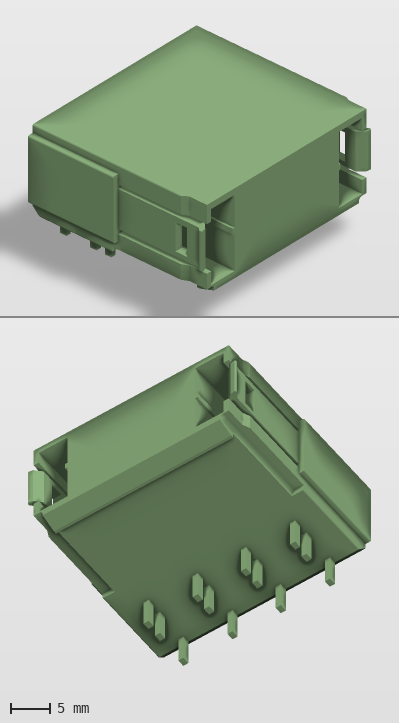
import cadquery as cq
import math

length = 29.25
full_width = 33.28
pad_rise = 0.9
body_half = full_width / 2 - pad_rise
height = 13.58
edge_radius = 0.25
end_chamfer = 1.25

pad_length = 14.58
pad_bottom = 2.13
pad_top = 12.28

wall = 1.3
cavity_floor = 1.1
cavity_roof = 12.58
core_half = 10.0
rail_bottom = 6.75
rail_top = 7.65
rail_rise = 0.33

slot_bottom = 3.2
slot_top = 10.68
arm_bottom = 4.0
arm_top = 10.02
window_start = 24.33
window_end = 26.32
window_bottom = 4.73
window_top = 9.12

bend_start = 27.9
bend_radius = 1.03
bend_angle = 45.0
inner_bend_offset = 0.25
hook_flank_end = 28.82
hook_peak_x = 28.95
hook_peak_rise = 0.53
hook_corner_rise = 0.4
hook_back_x = 29.12

taper_start = 25.25
taper_end = 26.3
taper_depth = 0.5

base_half = 13.85
step_start = 13.48
step_height = 0.83
step_radius = 0.53
wedge_start = 26.32
wedge_flat_end = 26.75
wedge_drop = 0.75

pin_size_x = 1.1
pin_size_y = 0.8
pin_length = 4.15
pin_root = 1.25
pin_columns_x = (1.75, 6.9, 9.4)
pin_rows_y = (-11.45, -3.75, 3.75, 11.45)


def block(x0, x1, y0, y1, z0, z1):
    """Box between two opposite corners."""
    return cq.Workplane("XY").box(x1 - x0, y1 - y0, z1 - z0, centered=False).translate((x0, y0, z0))


def on_both_sides(shape):
    """A shape on the +Y side together with its mirror image on the -Y side."""
    return shape.union(shape.mirror("XZ"))


def make_body():
    """Rounded case with its pads and the chamfer under the closed end."""
    case = block(0, length, -body_half, body_half, 0, height).edges("|X").fillet(edge_radius)
    pads = block(0, pad_length, -full_width / 2, full_width / 2, pad_bottom, pad_top)
    pads = pads.edges("|X").fillet(edge_radius)
    chamfer = (
        cq.Workplane("XZ")
        .polyline([(0, 0), (end_chamfer, 0), (0, end_chamfer)])
        .close()
        .extrude(full_width / 2, both=True)
    )
    return case.union(pads).cut(chamfer)


def make_cavity():
    """Space between the side wall and the core, plus the slot through the wall, on the +Y side."""
    inner_face = body_half - wall
    chamber = block(pad_length, length, core_half, inner_face, cavity_floor, cavity_roof)
    slot = block(pad_length, length, inner_face, body_half, slot_bottom, slot_top)
    rail = block(pad_length, length, core_half, core_half + rail_rise, rail_bottom, rail_top)
    return chamber.union(slot).cut(rail)


def make_taper():
    """Material removed from the +Y side face at the open end."""
    return (
        cq.Workplane("XY")
        .polyline([
            (taper_start, body_half),
            (taper_end, body_half - taper_depth),
            (length, body_half - taper_depth),
            (length, body_half),
        ])
        .close()
        .extrude(height)
    )


def make_step():
    """Step below the +Y side wall, with a rounded inner corner."""
    step = block(step_start, length, base_half, body_half, 0, step_height)
    return step.edges("|X and <Y and >Z").fillet(step_radius)


def make_arm():
    """Latch arm on the +Y side, with an outward hook and a window."""
    turn = math.radians(bend_angle)
    half_turn = turn / 2
    bend_mid = (
        bend_start + bend_radius * math.sin(half_turn),
        body_half + bend_radius * (1 - math.cos(half_turn)),
    )
    bend_end_x = bend_start + bend_radius * math.sin(turn)
    bend_end_y = body_half + bend_radius * (1 - math.cos(turn))
    inner_bend_x = bend_start + inner_bend_offset
    inner_y = body_half - wall
    arm = (
        cq.Workplane("XY", origin=(0, 0, arm_bottom))
        .moveTo(pad_length, body_half)
        .lineTo(bend_start, body_half)
        .threePointArc(bend_mid, (bend_end_x, bend_end_y))
        .lineTo(hook_flank_end, bend_end_y + hook_flank_end - bend_end_x)
        .threePointArc((hook_peak_x, body_half + hook_peak_rise), (length, body_half + hook_corner_rise))
        .lineTo(hook_back_x, inner_y + hook_back_x - inner_bend_x)
        .lineTo(inner_bend_x, inner_y)
        .lineTo(pad_length, inner_y)
        .close()
        .extrude(arm_top - arm_bottom)
    )
    window = block(window_start, window_end, inner_y, body_half, window_bottom, window_top)
    return arm.cut(window)


def make_wedge():
    """Catch under the base at the open end, sloping up to the underside."""
    return (
        cq.Workplane("XZ")
        .polyline([
            (wedge_start, 0),
            (wedge_start, -wedge_drop),
            (wedge_flat_end, -wedge_drop),
            (length, 0),
        ])
        .close()
        .extrude(base_half, both=True)
    )


def make_pins():
    """Rectangular terminal pins, rooted inside the solid part of the case."""
    return (
        cq.Workplane("XY", origin=(0, 0, -pin_length))
        .pushPoints([(x, y) for x in pin_columns_x for y in pin_rows_y])
        .rect(pin_size_x, pin_size_y)
        .extrude(pin_length + pin_root)
    )


result = (
    make_body()
    .cut(on_both_sides(make_cavity()))
    .cut(on_both_sides(make_taper()))
    .cut(on_both_sides(make_step()))
    .union(on_both_sides(make_arm()))
    .union(make_wedge())
    .union(make_pins())
)